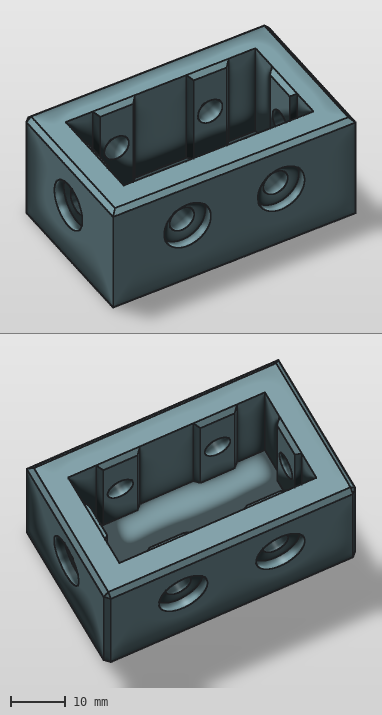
import cadquery as cq

length_x = 32.0
length_y = 51.8
height = 22.9
edge_chamfer = 1.0

wall = 5.65
pocket_depth = 20.0
pocket_x = length_x - 2 * wall
pocket_y = length_y - 2 * wall
floor_z = height - pocket_depth

pad_width = 9.0
pad_rise = 1.0

hole_diameter = 5.25
bore_diameter = 10.0
bore_depth = 2.0
hole_z = height - 10.0
side_hole_offset = 10.0
cut_depth = wall + 2 * pad_rise

stations = [(angle, length_y / 2, 0) for angle in (0, 180)]
stations += [
    (angle, length_x / 2, offset)
    for angle in (90, 270)
    for offset in (-side_hole_offset, side_hole_offset)
]


def make_box():
    """Block chamfered around the top and on the two -X vertical edges, with its pocket."""
    block = cq.Workplane("XY").box(length_x, length_y, height, centered=(True, True, False))
    block = block.edges("(|Z and <X) or >Z").chamfer(edge_chamfer)
    pocket = cq.Workplane("XY", origin=(0, 0, floor_z)).box(
        pocket_x, pocket_y, pocket_depth, centered=(True, True, False)
    )
    return block.cut(pocket)


def make_pad(face_distance, offset):
    """Pad on the -Y pocket wall, bevelled at its sides and top, rooted inside the wall."""
    root_y = wall - face_distance
    tip_y = root_y + pad_rise
    half_base = pad_width / 2
    half_tip = half_base - pad_rise
    pad = (
        cq.Workplane("XY", origin=(offset, 0, floor_z))
        .moveTo(-half_base, root_y - pad_rise)
        .lineTo(half_base, root_y - pad_rise)
        .lineTo(half_base, root_y)
        .lineTo(half_tip, tip_y)
        .lineTo(-half_tip, tip_y)
        .lineTo(-half_base, root_y)
        .close()
        .extrude(pocket_depth)
    )
    top_bevel = (
        cq.Workplane("YZ", origin=(offset - half_base, 0, 0))
        .moveTo(root_y, height)
        .lineTo(tip_y, height)
        .lineTo(tip_y, height - pad_rise)
        .close()
        .extrude(pad_width)
    )
    return pad.cut(top_bevel)


def make_hole(face_distance, offset):
    """Counterbored hole entering from the outer -Y face."""
    entry = cq.Workplane("XZ", origin=(offset, -face_distance, hole_z))
    hole = entry.circle(hole_diameter / 2).extrude(-cut_depth)
    bore = entry.circle(bore_diameter / 2).extrude(-bore_depth)
    return hole.union(bore)


def turn(shape, angle):
    return shape.rotate((0, 0, 0), (0, 0, 1), angle)


result = make_box()
for angle, face_distance, offset in stations:
    result = result.union(turn(make_pad(face_distance, offset), angle))
for angle, face_distance, offset in stations:
    result = result.cut(turn(make_hole(face_distance, offset), angle))